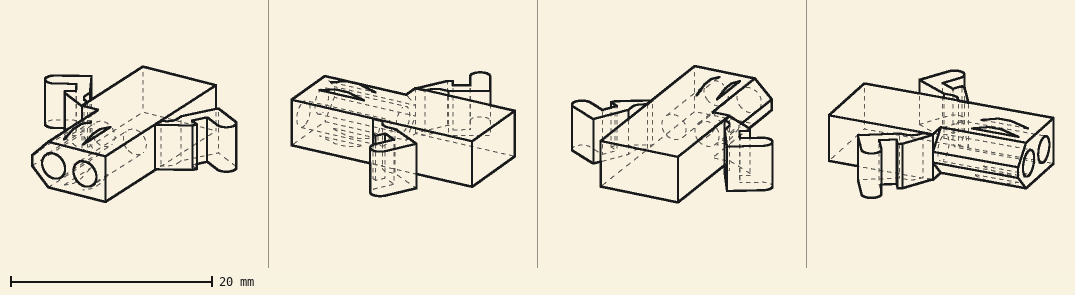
import cadquery as cq
import math

BODY_WIDTH = 8.6
BODY_LENGTH = 20.62
BODY_HEIGHT = 4.96

NOSE_LENGTH = 9.28
NOSE_CHAMFER = 1.9

CAVITY_PITCH = 3.68
CAVITY_OFFSET = 0.06
CAVITY_DIAMETER = 2.7
CAVITY_DEPTH = NOSE_LENGTH

OVERALL_HEIGHT = 5.92
RAMP_WIDTH = 2.28
RAMP_OFFSET = -0.25
RAMP_START = 1.28
RAMP_RUN = 1.83
RAMP_FLAT = 1.4

OVERALL_WIDTH = 22.1
CLIP_HEIGHT = 4.84
CLIP_ANGLE = 30
ROOT_THICKNESS = 0.93
ROOT_FILLET = 1.15
ARM_LENGTH = 3.7
BARB_TIP_BEVEL = 0.5
BARB_LEDGE = 1.09
NOTCH_DEPTH = 1.73
FINGER_WIDTH = 2.0
SPINE_THICKNESS = 1.42
NECK_GAP = 1.06
ROOT_OVERLAP = 0.5


def step(point, distance, angle):
    """Return the point a given distance away, at an angle in degrees from +X."""
    heading = math.radians(angle)
    return (point[0] + distance * math.cos(heading), point[1] + distance * math.sin(heading))


def make_housing():
    housing = cq.Workplane("XY").box(BODY_WIDTH, BODY_LENGTH, BODY_HEIGHT, centered=(True, False, True))
    for side in (-1, 1):
        edge = (-BODY_WIDTH / 2, side * BODY_HEIGHT / 2)
        corner_cut = (
            cq.Workplane("XZ")
            .polyline([edge, (edge[0] + NOSE_CHAMFER, edge[1]), (edge[0], edge[1] - side * NOSE_CHAMFER)])
            .close()
            .extrude(-NOSE_LENGTH)
        )
        housing = housing.cut(corner_cut)
    return housing


def make_cavities():
    return (
        cq.Workplane("XZ")
        .pushPoints([(CAVITY_OFFSET - CAVITY_PITCH / 2, 0), (CAVITY_OFFSET + CAVITY_PITCH / 2, 0)])
        .circle(CAVITY_DIAMETER / 2)
        .extrude(-CAVITY_DEPTH)
    )


def make_latch_ramps():
    """Matching trapezoidal ramps standing on the top and bottom faces."""
    surface = BODY_HEIGHT / 2
    crest = OVERALL_HEIGHT / 2
    crest_start = RAMP_START + RAMP_RUN
    crest_end = crest_start + RAMP_FLAT
    ramp_end = crest_end + RAMP_RUN
    ramps = cq.Workplane("YZ", origin=(RAMP_OFFSET, 0, 0))
    for side in (-1, 1):
        profile = [
            (RAMP_START, side * surface),
            (crest_start, side * crest),
            (crest_end, side * crest),
            (ramp_end, side * surface),
        ]
        ramps = ramps.polyline(profile).close()
    return ramps.extrude(RAMP_WIDTH / 2, both=True)


def make_left_clip():
    outward = 180 - CLIP_ANGLE
    finger_out = 180 + CLIP_ANGLE
    finger_in = CLIP_ANGLE
    notch_rise = 90 + CLIP_ANGLE
    tilt = math.radians(CLIP_ANGLE)
    slope = math.tan(tilt)
    wall = -BODY_WIDTH / 2

    root_bottom = (wall, NOSE_LENGTH)
    barb_base = step(root_bottom, ARM_LENGTH, outward)
    barb_tip = step(barb_base, BARB_TIP_BEVEL, notch_rise)
    notch_floor = step(barb_tip, BARB_LEDGE, finger_in)
    notch_top = step(notch_floor, NOTCH_DEPTH, notch_rise)

    finger_radius = FINGER_WIDTH / 2
    finger_axis_start = step(notch_top, finger_radius, notch_rise)
    end_x = finger_radius - OVERALL_WIDTH / 2
    finger_length = (finger_axis_start[0] - end_x) / math.cos(tilt)
    end_centre = step(finger_axis_start, finger_length, finger_out)
    end_lower = step(end_centre, finger_radius, notch_rise + 180)
    end_tip = step(end_centre, finger_radius, finger_out)
    end_upper = step(end_centre, finger_radius, notch_rise)
    finger_back = step(notch_top, FINGER_WIDTH, notch_rise)
    finger_heel = step(finger_back, SPINE_THICKNESS, finger_in)

    neck_x = wall - NECK_GAP
    neck_top = (neck_x, finger_heel[1] - (neck_x - finger_heel[0]) / slope)
    root_top = (wall, NOSE_LENGTH + ROOT_THICKNESS / math.cos(tilt))
    neck_corner = (neck_x, root_top[1] + NECK_GAP * slope)

    half_turn = math.radians(90 - CLIP_ANGLE) / 2
    blend_length = ROOT_FILLET * math.tan(half_turn)
    blend_top = step(neck_corner, blend_length, 90)
    blend_bottom = step(neck_corner, blend_length, -CLIP_ANGLE)
    blend_centre = (neck_x + ROOT_FILLET, blend_top[1])
    blend_middle = step(blend_centre, ROOT_FILLET, 180 + math.degrees(half_turn))

    inside_top = (wall + ROOT_OVERLAP, root_top[1])
    inside_bottom = (wall + ROOT_OVERLAP, root_bottom[1])

    return (
        cq.Workplane("XY")
        .moveTo(*root_bottom)
        .lineTo(*barb_base)
        .lineTo(*barb_tip)
        .lineTo(*notch_floor)
        .lineTo(*notch_top)
        .lineTo(*end_lower)
        .threePointArc(end_tip, end_upper)
        .lineTo(*finger_heel)
        .lineTo(*neck_top)
        .lineTo(*blend_top)
        .threePointArc(blend_middle, blend_bottom)
        .lineTo(*root_top)
        .lineTo(*inside_top)
        .lineTo(*inside_bottom)
        .close()
        .extrude(CLIP_HEIGHT / 2, both=True)
    )


left_clip = make_left_clip()
right_clip = left_clip.mirror("YZ")
shell = make_housing().union(make_latch_ramps()).cut(make_cavities())
result = shell.union(left_clip).union(right_clip)